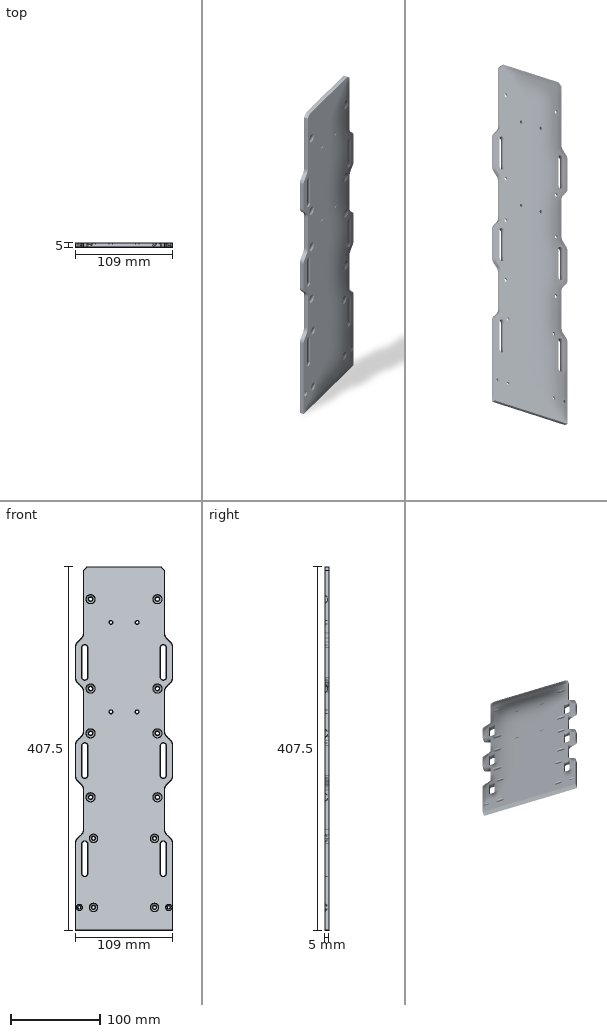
import cadquery as cq

height = 407.5
width = 109.0
thickness = 5.0
neck_width = 91.0
top_chamfer = 4.0

tab_spacing = 110.0
lowest_tab_z = 80.3
tab_centers_z = [lowest_tab_z + i * tab_spacing for i in range(3)]
tab_half_flat = 20.5
tab_corner_radius = 8.0
slot_x = 44.0
slot_width = 6.5
slot_length = 39.5

small_hole_diameter = 4.0
small_hole_x = 14.5
small_holes_z = [245.0, 345.0]

countersink_angle = 90.0

neck_screw_diameter = 4.5
neck_screw_head = 10.0
neck_screw_x = 37.5
neck_screws_z = [149.0, 221.0, 271.0, 371.0]

base_row_z = 25.5
base_screw_diameter = 4.0
base_screw_head = 9.5
base_screw_x = 34.2
base_screws_z = [base_row_z, 103.0]

edge_screw_diameter = 3.5
edge_screw_head = 7.0
edge_screw_x = 50.0
edge_screws_z = [base_row_z]


def right_outline():
    """Points of the right-hand edge from bottom to top, tabs included."""
    tab_x = width / 2
    neck_x = neck_width / 2
    flank_rise = tab_x - neck_x
    points = [(tab_x, 0)]
    for z in tab_centers_z:
        if z > lowest_tab_z:
            points.append((neck_x, z - tab_half_flat - flank_rise))
            points.append((tab_x, z - tab_half_flat))
        points.append((tab_x, z + tab_half_flat))
        points.append((neck_x, z + tab_half_flat + flank_rise))
    points.append((neck_x, height - top_chamfer))
    points.append((neck_x - top_chamfer, height))
    return points


def make_plate():
    right = right_outline()
    left = [(-x, z) for x, z in reversed(right)]
    plate = cq.Workplane("XZ").polyline(right + left).close().extrude(thickness / 2, both=True)
    flank_zone = cq.selectors.BoxSelector(
        (-width, -thickness, tab_centers_z[0]),
        (width, thickness, tab_centers_z[-1] + tab_spacing / 2),
    )
    return plate.edges("|Y").edges(flank_zone).fillet(tab_corner_radius)


def on_front_face(plate, x, heights):
    """Points at +x and -x for every height, on the front face."""
    points = [(side * x, z) for z in heights for side in (-1, 1)]
    return plate.faces("<Y").workplane(origin=(0, 0, 0)).pushPoints(points)


def cut_slots(plate):
    slots = on_front_face(plate, slot_x, tab_centers_z)
    return slots.slot2D(slot_length, slot_width, 90).cutThruAll()


def cut_small_holes(plate):
    return on_front_face(plate, small_hole_x, small_holes_z).hole(small_hole_diameter)


def cut_screw_holes(plate, diameter, head, x, heights):
    return on_front_face(plate, x, heights).cskHole(diameter, head, countersink_angle)


result = make_plate()
result = cut_slots(result)
result = cut_small_holes(result)
result = cut_screw_holes(result, neck_screw_diameter, neck_screw_head, neck_screw_x, neck_screws_z)
result = cut_screw_holes(result, base_screw_diameter, base_screw_head, base_screw_x, base_screws_z)
result = cut_screw_holes(result, edge_screw_diameter, edge_screw_head, edge_screw_x, edge_screws_z)